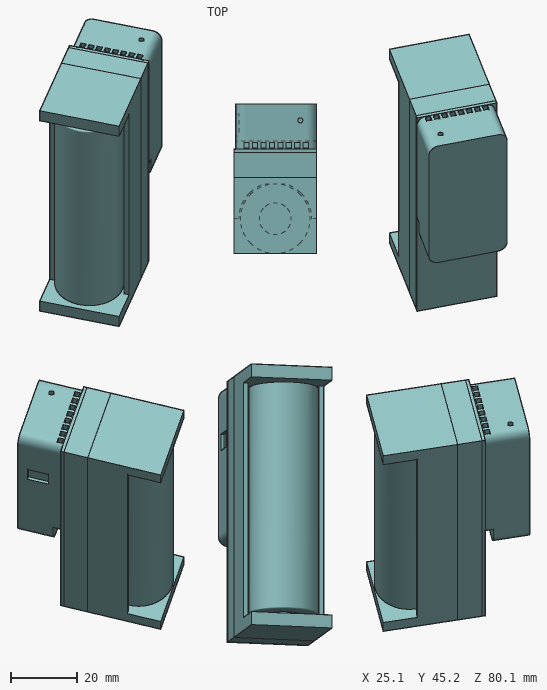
import cadquery as cq

WIDTH = 25.1
HEIGHT = 80.1
TOTAL_DEPTH = 45.25

HOLDER_DEPTH = 23.0
SPACER_DEPTH = 7.5
BOARD_THICKNESS = 1.05
SPACER_FRONT = HOLDER_DEPTH
BOARD_FRONT = SPACER_FRONT + SPACER_DEPTH
MODULE_FRONT = BOARD_FRONT + BOARD_THICKNESS

CELL_DIAMETER = 21.1
CELL_LENGTH = 70.0
CELL_EDGE_RADIUS = 0.4
TERMINAL_DIAMETER = 9.6
TERMINAL_HEIGHT = 0.4
CELL_AXIS_Y = CELL_DIAMETER / 2
CELL_BOTTOM = (HEIGHT - CELL_LENGTH) / 2

END_WALL = 4.0
CAVITY_DIAMETER = 22.0
CAVITY_LENGTH = HEIGHT - 2 * END_WALL
CAVITY_FLOOR_Y = CELL_DIAMETER

MODULE_SIDE_GAP = 0.6
MODULE_WIDTH = WIDTH - MODULE_SIDE_GAP
MODULE_DEPTH = TOTAL_DEPTH - MODULE_FRONT
MODULE_HEIGHT = 48.2
MODULE_CORNER_RADIUS = 3.05
MODULE_RIGHT = WIDTH / 2
MODULE_LEFT = MODULE_RIGHT - MODULE_WIDTH
MODULE_CENTRE_X = (MODULE_LEFT + MODULE_RIGHT) / 2
MODULE_BOTTOM = HEIGHT - MODULE_HEIGHT

STEP_DEPTH = 2.5
STEP_HEIGHT = 7.0

WINDOW_LENGTH = 6.6
WINDOW_HEIGHT = 5.05
WINDOW_RECESS = 1.0
WINDOW_TO_BACK = 3.1
WINDOW_TO_TOP = 14.3

SOCKET_COUNT = 8
SOCKET_PITCH = 2.6
SOCKET_SIZE = 1.6
SOCKET_TO_BOARD = 0.4
TOP_OPENING_DEPTH = 4.0
TOP_HOLE_DIAMETER = 1.5
TOP_HOLE_INSET = 5.0


def block(x_size, y_size, z_size, x_min, y_min, z_min):
    """Box placed by its minimum corner."""
    return cq.Workplane("XY").box(x_size, y_size, z_size, centered=False).translate((x_min, y_min, z_min))


def upright_cylinder(diameter, height, x, y, z_min):
    """Cylinder along Z, standing on z_min."""
    return cq.Workplane("XY").circle(diameter / 2).extrude(height).translate((x, y, z_min))


def full_layer(depth, y_min):
    """Slab with the full width and height of the assembly."""
    return block(WIDTH, depth, HEIGHT, -WIDTH / 2, y_min, 0)


def make_cavity():
    """Trough for the cell: round at the back with a flat floor, open to the front and, ahead of the
    cell axis, open to both sides."""
    round_back = upright_cylinder(CAVITY_DIAMETER, CAVITY_LENGTH, 0, CELL_AXIS_Y, END_WALL)
    behind_floor = block(WIDTH, CAVITY_DIAMETER, CAVITY_LENGTH, -WIDTH / 2, CAVITY_FLOOR_Y, END_WALL)
    open_front = block(WIDTH, CELL_AXIS_Y, CAVITY_LENGTH, -WIDTH / 2, 0, END_WALL)
    return round_back.cut(behind_floor).union(open_front)


def make_holder():
    return full_layer(HOLDER_DEPTH, 0).cut(make_cavity())


def make_cell():
    """Round cell with softened rims and a flat terminal on its lower end."""
    can_bottom = CELL_BOTTOM + TERMINAL_HEIGHT
    can = upright_cylinder(CELL_DIAMETER, CELL_LENGTH - TERMINAL_HEIGHT, 0, CELL_AXIS_Y, can_bottom)
    can = can.edges("%CIRCLE").fillet(CELL_EDGE_RADIUS)
    terminal = upright_cylinder(TERMINAL_DIAMETER, TERMINAL_HEIGHT, 0, CELL_AXIS_Y, CELL_BOTTOM)
    return can.union(terminal)


def make_step():
    return block(MODULE_WIDTH, STEP_DEPTH, STEP_HEIGHT, MODULE_LEFT, MODULE_FRONT, MODULE_BOTTOM)


def make_window():
    return block(
        WINDOW_RECESS,
        WINDOW_LENGTH,
        WINDOW_HEIGHT,
        MODULE_LEFT,
        TOTAL_DEPTH - WINDOW_TO_BACK - WINDOW_LENGTH,
        HEIGHT - WINDOW_TO_TOP - WINDOW_HEIGHT,
    )


def make_socket(index):
    centre_x = MODULE_CENTRE_X + (index - (SOCKET_COUNT - 1) / 2) * SOCKET_PITCH
    return block(
        SOCKET_SIZE,
        SOCKET_SIZE,
        TOP_OPENING_DEPTH,
        centre_x - SOCKET_SIZE / 2,
        MODULE_FRONT + SOCKET_TO_BOARD,
        HEIGHT - TOP_OPENING_DEPTH,
    )


def make_top_hole():
    return upright_cylinder(
        TOP_HOLE_DIAMETER,
        TOP_OPENING_DEPTH,
        MODULE_RIGHT - TOP_HOLE_INSET,
        TOTAL_DEPTH - TOP_HOLE_INSET,
        HEIGHT - TOP_OPENING_DEPTH,
    )


def make_module():
    """Box with four rounded corners along Y, stepped underneath, with its openings cut."""
    module = block(MODULE_WIDTH, MODULE_DEPTH, MODULE_HEIGHT, MODULE_LEFT, MODULE_FRONT, MODULE_BOTTOM)
    module = module.edges("|Y").fillet(MODULE_CORNER_RADIUS)
    module = module.cut(make_step()).cut(make_window()).cut(make_top_hole())
    for index in range(SOCKET_COUNT):
        module = module.cut(make_socket(index))
    return module


holder = make_holder()
spacer = full_layer(SPACER_DEPTH, SPACER_FRONT)
board = full_layer(BOARD_THICKNESS, BOARD_FRONT)
module = make_module()
cell = make_cell()

result = cq.Compound.makeCompound(
    [holder.val(), spacer.val(), board.val(), module.val(), cell.val()]
)